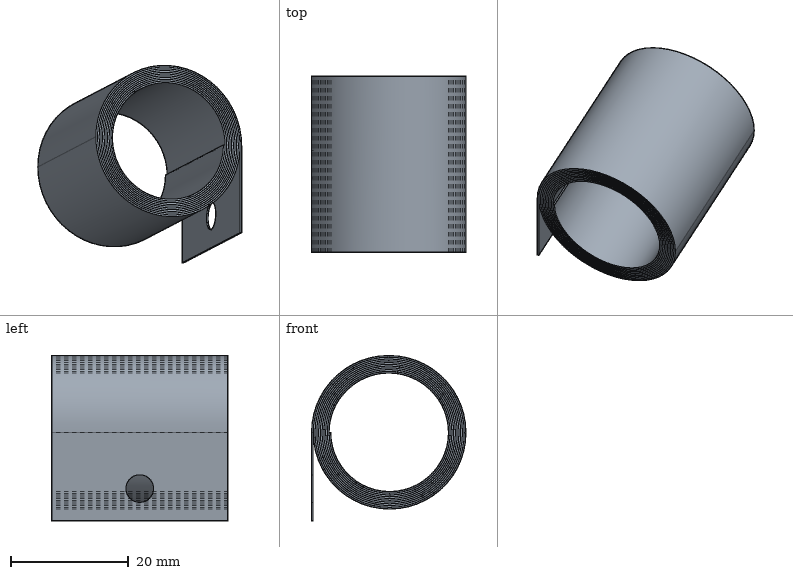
import cadquery as cq

strip_width = 30.0
outer_radius = 13.15
turns = 10
pitch = 0.3
clearance = 0.0005
thickness = pitch - clearance

tail_length = 15.0
hole_diameter = 4.7
hole_to_tail_end = 5.5


def half_turns():
    """Centre X, outside radius and side (+1 upper, -1 lower) of each half turn, from the tail inwards.

    Each half turn is half a pitch smaller in radius than the one before. The lower
    ones are centred half a pitch further along +X, so all joints lie on Z = 0.
    """
    arcs = []
    for index in range(2 * turns):
        is_lower = index % 2
        centre_x = is_lower * pitch / 2
        radius = outer_radius - index * pitch / 2
        arcs.append((centre_x, radius, -1 if is_lower else 1))
    return arcs


def make_coil():
    """Strip outline in the XZ plane, extruded to the strip width."""
    arcs = half_turns()
    outline = cq.Workplane("XZ").moveTo(-outer_radius, -tail_length).lineTo(-outer_radius, 0)

    for centre_x, radius, side in arcs:
        outline = outline.threePointArc((centre_x, side * radius), (centre_x + side * radius, 0))

    last_centre_x, last_radius, last_side = arcs[-1]
    outline = outline.lineTo(last_centre_x + last_side * (last_radius - thickness), 0)
    for centre_x, radius, side in reversed(arcs):
        inside_radius = radius - thickness
        outline = outline.threePointArc(
            (centre_x, side * inside_radius),
            (centre_x - side * inside_radius, 0),
        )

    outline = outline.lineTo(thickness - outer_radius, -tail_length).close()
    return outline.extrude(strip_width / 2, both=True)


def make_tail_hole():
    """Round cutter along X that passes through the tail only."""
    return (
        cq.Workplane("YZ", origin=(-outer_radius, 0, 0))
        .center(0, hole_to_tail_end - tail_length)
        .circle(hole_diameter / 2)
        .extrude(thickness)
    )


result = make_coil().cut(make_tail_hole())